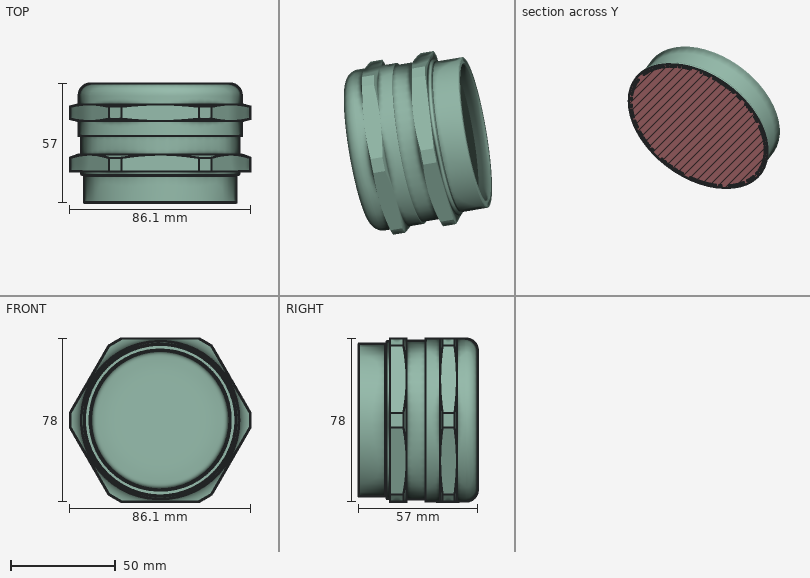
import math

import cadquery as cq


thread_length = 13.0
seat_length = 2.0
fixed_nut_width = 8.0
body_length = 9.0
cap_length = 25.0
cap_nut_width = 8.0
cap_nut_from_dome = 10.0

seat_y = thread_length
fixed_nut_y = seat_y + seat_length
body_y = fixed_nut_y + fixed_nut_width
cap_y = body_y + body_length
overall_length = cap_y + cap_length
cap_nut_y = overall_length - cap_nut_from_dome - cap_nut_width

thread_diameter = 73.0
thread_chamfer_radial = 0.5
thread_chamfer_axial = 0.3
seat_diameter = thread_diameter - 2 * thread_chamfer_radial
body_diameter = 76.0
cap_diameter = 78.0
dome_radius = 6.0

bore_diameter = 66.2
bore_depth = 6.0
bore_chamfer = 0.6

ring_outer_diameter = 75.6
ring_section_radius = 1.0
ring_offset = 0.7
ring_y = fixed_nut_y - ring_offset

across_flats = 78.0
across_cut_corners = 86.07
hexagon_sides = 6
across_sharp_corners = across_flats / math.cos(math.pi / hexagon_sides)
fixed_nut_corner_drop = 1.5
cap_nut_corner_drop = 1.1


def cylinder(y, length, diameter):
    """Solid cylinder on the Y axis, from y to y + length."""
    return cq.Workplane("XZ", origin=(0, y, 0)).circle(diameter / 2).extrude(-length)


def hexagon(y, length, across_corners):
    """Hexagonal prism along Y with corners on the X axis."""
    return cq.Workplane("XZ", origin=(0, y, 0)).polygon(hexagon_sides, across_corners).extrude(-length)


def revolve_about_y(profile):
    """Solid of revolution from a closed list of (radius, y) points."""
    return cq.Workplane("XY").polyline(profile).close().revolve(360, (0, 0, 0), (0, 1, 0))


def corner_envelope(y, length, front_drop, back_drop):
    """Turned envelope that bevels the nut corners by the given drop at each face."""
    face_radius = across_flats / 2
    corner_radius = across_cut_corners / 2
    rim_radius = across_sharp_corners / 2
    drop_scale = (rim_radius - face_radius) / (corner_radius - face_radius)
    profile = [(0, y)]
    if front_drop:
        profile += [(face_radius, y), (rim_radius, y + front_drop * drop_scale)]
    else:
        profile += [(rim_radius, y)]
    profile += [
        (rim_radius, y + length - back_drop * drop_scale),
        (face_radius, y + length),
        (0, y + length),
    ]
    return revolve_about_y(profile)


def nut(y, length, front_drop, back_drop):
    """Hexagon with flat-cut corners and bevelled faces."""
    corner_cutter_diameter = across_cut_corners / math.cos(math.pi / hexagon_sides)
    corner_cutter = hexagon(y, length, corner_cutter_diameter)
    corner_cutter = corner_cutter.rotate((0, 0, 0), (0, 1, 0), 180 / hexagon_sides)
    blank = hexagon(y, length, across_sharp_corners).intersect(corner_cutter)
    return blank.intersect(corner_envelope(y, length, front_drop, back_drop))


def threaded_end():
    """Plain thread cylinder, chamfered at both ends, with its ring seat."""
    thread = cylinder(0, thread_length, thread_diameter)
    thread = thread.faces("<Y").chamfer(thread_chamfer_axial, thread_chamfer_radial)
    thread = thread.faces(">Y").chamfer(thread_chamfer_axial, thread_chamfer_radial)
    return thread.union(cylinder(seat_y, seat_length, seat_diameter))


def sealing_ring():
    """Round-section ring partly sunk into the fixed nut face."""
    centre_radius = ring_outer_diameter / 2 - ring_section_radius
    section = cq.Workplane("XY").center(centre_radius, ring_y).circle(ring_section_radius)
    return section.revolve(360, (-centre_radius, 0, 0), (-centre_radius, 1, 0))


def cap():
    """Cap sleeve with its rounded end and hexagon."""
    sleeve = cylinder(cap_y, cap_length, cap_diameter).faces(">Y").edges().fillet(dome_radius)
    return sleeve.union(nut(cap_nut_y, cap_nut_width, cap_nut_corner_drop, cap_nut_corner_drop))


def bore():
    """Blind bore with a chamfered mouth."""
    bore_radius = bore_diameter / 2
    profile = [
        (0, 0),
        (bore_radius + bore_chamfer, 0),
        (bore_radius, bore_chamfer),
        (bore_radius, bore_depth),
        (0, bore_depth),
    ]
    return revolve_about_y(profile)


result = threaded_end()
result = result.union(nut(fixed_nut_y, fixed_nut_width, 0, fixed_nut_corner_drop))
result = result.union(cylinder(body_y, body_length, body_diameter))
result = result.union(cap())
result = result.union(sealing_ring())
result = result.cut(bore())